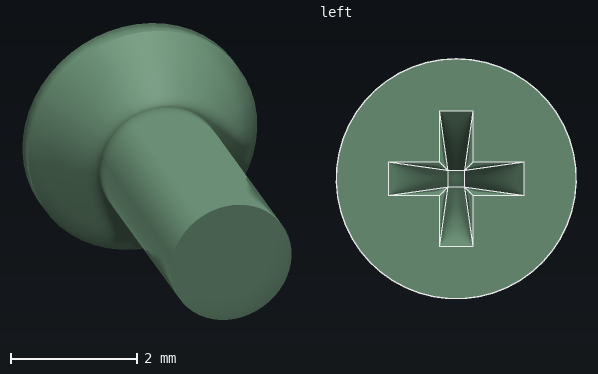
import cadquery as cq

total_length = 5.0
head_radius = 1.9
shank_radius = 1.0
rim_thickness = 0.3
cone_length = head_radius - shank_radius
head_height = rim_thickness + cone_length

slot_length = 2.14
slot_width = 0.53
floor_side = slot_width / 2
recess_depth = 1.54


def screw_body():
    """Head rim, conical flank and plain shank, revolved about the X axis."""
    return (
        cq.Workplane("XZ")
        .moveTo(0, 0)
        .lineTo(0, head_radius)
        .lineTo(rim_thickness, head_radius)
        .lineTo(head_height, shank_radius)
        .lineTo(total_length, shank_radius)
        .lineTo(total_length, 0)
        .close()
        .revolve(360, (0, 0, 0), (1, 0, 0))
    )


def tapered_slot(size_y, size_z):
    """Solid tapering from a rectangle on the head face to the square recess floor."""
    return (
        cq.Workplane("YZ")
        .rect(size_y, size_z)
        .workplane(offset=recess_depth)
        .rect(floor_side, floor_side)
        .loft(ruled=True)
    )


def cross_recess():
    """One slot along Y and one along Z, joined."""
    slot_along_y = tapered_slot(slot_length, slot_width)
    slot_along_z = tapered_slot(slot_width, slot_length)
    return slot_along_y.union(slot_along_z)


result = screw_body().cut(cross_recess())